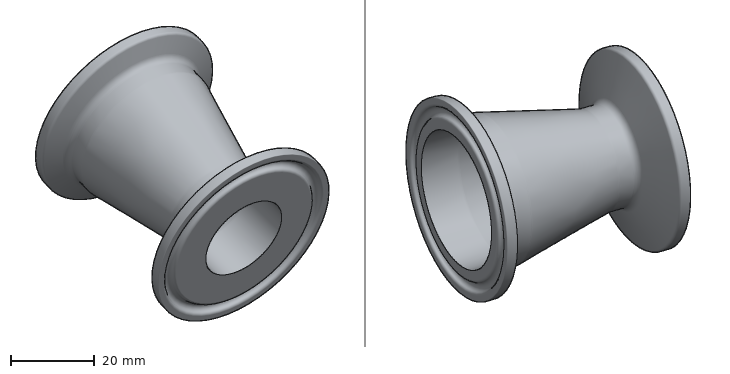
import cadquery as cq
import math

LENGTH = 50.0
FLANGE_RADIUS = 50.5 / 2

WALL = 1.65
LARGE_RADIUS = 38.05 / 2
SMALL_RADIUS = 25.65 / 2
LARGE_BORE_RADIUS = LARGE_RADIUS - WALL
SMALL_BORE_RADIUS = SMALL_RADIUS - WALL

CONE_START = 10.2
CONE_END = 37.4
CONE_BLEND = 2.0

FLANGE_RIM_WIDTH = 2.85
FLANGE_BACK_ANGLE = math.radians(20)
FACE_EDGE_ROUND = 0.2
RIM_ROUND = 0.8
FLANGE_ROOT_ROUND = 2.0

GROOVE_RADIUS = 43.5 / 2
GROOVE_HALF_WIDTH = 1.39
GROOVE_WALL_ANGLE = math.radians(70)
GROOVE_LIP_ROUND = 0.8
GROOVE_BOTTOM_ROUND = 1.2
GROOVE_APEX_DEPTH = GROOVE_HALF_WIDTH * math.tan(GROOVE_WALL_ANGLE)


def flange_corners(bore_radius, tube_radius):
    """Corners (axial, radial, rounding) of a flange from its bore to its tube.

    The axial distance is measured inward from the flange face.
    """
    back_rise = (FLANGE_RADIUS - tube_radius) * math.tan(FLANGE_BACK_ANGLE)
    return [
        (0, bore_radius, 0),
        (0, GROOVE_RADIUS - GROOVE_HALF_WIDTH, GROOVE_LIP_ROUND),
        (GROOVE_APEX_DEPTH, GROOVE_RADIUS, GROOVE_BOTTOM_ROUND),
        (0, GROOVE_RADIUS + GROOVE_HALF_WIDTH, GROOVE_LIP_ROUND),
        (0, FLANGE_RADIUS, FACE_EDGE_ROUND),
        (FLANGE_RIM_WIDTH, FLANGE_RADIUS, RIM_ROUND),
        (FLANGE_RIM_WIDTH + back_rise, tube_radius, FLANGE_ROOT_ROUND),
    ]


def section_corners():
    """Closed half section of the reducer, large end at X = 0."""
    large_flange = flange_corners(LARGE_BORE_RADIUS, LARGE_RADIUS)
    small_flange = flange_corners(SMALL_BORE_RADIUS, SMALL_RADIUS)
    small_flange = [(LENGTH - x, radius, rounding) for x, radius, rounding in reversed(small_flange)]
    outer_cone = [
        (CONE_START, LARGE_RADIUS, CONE_BLEND),
        (CONE_END, SMALL_RADIUS, CONE_BLEND),
    ]
    bore_cone = [
        (CONE_END, SMALL_BORE_RADIUS, CONE_BLEND),
        (CONE_START, LARGE_BORE_RADIUS, CONE_BLEND),
    ]
    return large_flange + outer_cone + small_flange + bore_cone


def round_corner(before, corner, after, rounding):
    """Start, middle and end of the arc that rounds a corner."""
    to_before = (before - corner).normalized()
    to_after = (after - corner).normalized()
    half_angle = to_before.getAngle(to_after) / 2
    tangent_length = rounding / math.tan(half_angle)
    middle_distance = rounding / math.sin(half_angle) - rounding
    bisector = (to_before + to_after).normalized()
    return (
        corner + to_before * tangent_length,
        corner + bisector * middle_distance,
        corner + to_after * tangent_length,
    )


def rounded_section(corners):
    """Closed outline through the corners, with an arc at each rounded one."""
    points = [cq.Vector(x, radius) for x, radius, _ in corners]
    outline = cq.Workplane("XZ").moveTo(points[0].x, points[0].y)
    for i in range(1, len(points)):
        rounding = corners[i][2]
        if rounding == 0:
            outline = outline.lineTo(points[i].x, points[i].y)
            continue
        following = points[(i + 1) % len(points)]
        start, middle, end = round_corner(points[i - 1], points[i], following, rounding)
        outline = outline.lineTo(start.x, start.y)
        outline = outline.threePointArc((middle.x, middle.y), (end.x, end.y))
    return outline.close()


result = rounded_section(section_corners()).revolve(360, (0, 0, 0), (1, 0, 0))